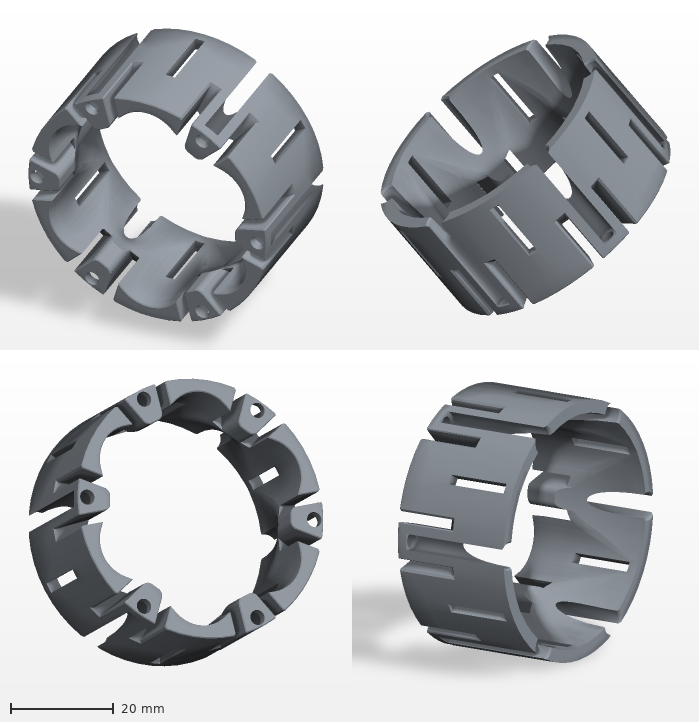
import cadquery as cq
import math

OUTER_RADIUS = 25.9
LENGTH = 25.0
FRONT = -LENGTH / 2
BACK = LENGTH / 2
COUNT = 6
PITCH = 360 / COUNT
EDGE_CHAMFER = 0.2

LOBE_DEPTH = 23.35
LOBE_RADIUS = 7.25
LOBE_FLAT_ANGLE = 45.0

TONGUE_INNER = 19.0
TONGUE_WIDTH = 4.65
TONGUE_CORNER = 1.55

BORE_RADIUS = 23.3
BORE_ARC = 42.5
BORE_OVERLAP = 3.1
BORE_BLEND = 3.35

HOLE_CENTRE = 23.95
HOLE_DIAMETER = 3.0
COUNTERBORE_DIAMETER = 5.0
COUNTERBORE_FLOOR = 2.0
COUNTERBORE_CHAMFER = 0.35

SLIT_WIDTH = 2.1
SLIT_LENGTH = 12.95
SLIT_TILT = 15.0
SLIT_APEX = 7.55
SLIT_END_RISE = 4.45
SLIT_END_RUN = 5.95
SLIT_END_FILLET = 0.3
SLIT_FLARE = 0.3
SLIT_OVERRUN = 1.55

WINDOW_WIDTH = 2.0
WINDOW_LENGTH = 13.0
WINDOW_FROM_BACK = 2.0


def front_plane():
    """XZ sketch plane on the front face; negative extrusions run towards the back."""
    return cq.Workplane("XZ", origin=(0, FRONT, 0))


def around_axis(shape, start=0.0):
    """Copies of a shape made on the +X axis, one per pitch."""
    return [shape.rotate((0, 0, 0), (0, 1, 0), start + i * PITCH) for i in range(COUNT)]


def polar(radius, degrees):
    angle = math.radians(degrees)
    return (radius * math.cos(angle), radius * math.sin(angle))


def offset_polar(centre, radius, degrees):
    reach = polar(radius, degrees)
    return (centre[0] + reach[0], centre[1] + reach[1])


def lobed_opening():
    lobe_centre = LOBE_DEPTH - LOBE_RADIUS
    flat_distance = lobe_centre * math.cos(math.radians(LOBE_FLAT_ANGLE)) + LOBE_RADIUS
    corner_radius = flat_distance / math.cos(math.radians(LOBE_FLAT_ANGLE - PITCH / 2))
    outline = front_plane().moveTo(*polar(corner_radius, 0))
    for i in range(COUNT):
        lobe = (i + 0.5) * PITCH
        centre = polar(lobe_centre, lobe)
        flat_start, flat_end = [
            offset_polar(centre, LOBE_RADIUS, lobe + turn)
            for turn in (-LOBE_FLAT_ANGLE, LOBE_FLAT_ANGLE)
        ]
        outline = outline.lineTo(*flat_start)
        outline = outline.threePointArc(polar(LOBE_DEPTH, lobe), flat_end)
        if i < COUNT - 1:
            outline = outline.lineTo(*polar(corner_radius, lobe + PITCH / 2))
    opening = outline.close().extrude(-LENGTH)

    tongue_height = HOLE_CENTRE - TONGUE_INNER
    tongue = (
        front_plane()
        .center(TONGUE_INNER + tongue_height / 2, 0)
        .rect(tongue_height, TONGUE_WIDTH)
        .extrude(-LENGTH)
        .edges("|Y and <X")
        .fillet(TONGUE_CORNER)
    )
    for copy in around_axis(tongue):
        opening = opening.cut(copy)
    return opening


def back_bore():
    """Solid of revolution, widest at the back, ending flat inside the tongue tips."""
    arc_centre = BORE_RADIUS - BORE_ARC
    end_radius = TONGUE_INNER - BORE_OVERLAP
    depth = math.sqrt(BORE_ARC**2 - (end_radius - arc_centre) ** 2)
    half = math.asin(depth / BORE_ARC) / 2
    middle = (arc_centre + BORE_ARC * math.cos(half), BACK - BORE_ARC * math.sin(half))
    return (
        cq.Workplane("XY")
        .moveTo(0, BACK)
        .lineTo(BORE_RADIUS, BACK)
        .threePointArc(middle, (end_radius, BACK - depth))
        .lineTo(0, BACK - depth)
        .close()
        .revolve(360, (0, 0, 0), (0, 1, 0))
    )


def screw_hole():
    radius = COUNTERBORE_DIAMETER / 2
    floor = FRONT + COUNTERBORE_FLOOR
    profile = [
        (0, FRONT),
        (HOLE_DIAMETER / 2, FRONT),
        (HOLE_DIAMETER / 2, floor),
        (radius, floor),
        (radius, BACK - COUNTERBORE_CHAMFER),
        (radius + COUNTERBORE_CHAMFER, BACK),
        (0, BACK),
    ]
    tool = cq.Workplane("XY").polyline(profile).close().revolve(360, (0, 0, 0), (0, 1, 0))
    return tool.translate((HOLE_CENTRE, 0, 0))


def slit(side):
    """Slit beside the +X column; side is +1 or -1."""
    half = SLIT_WIDTH / 2
    start = TONGUE_INNER - SLIT_OVERRUN - SLIT_APEX
    flare_start = OUTER_RADIUS - SLIT_APEX - SLIT_FLARE / 2
    tool = (
        front_plane()
        .polyline([
            (start, -half),
            (flare_start, -half),
            (flare_start + SLIT_OVERRUN, -half - SLIT_OVERRUN),
            (flare_start + SLIT_OVERRUN, half + SLIT_OVERRUN),
            (flare_start, half),
            (start, half),
        ])
        .close()
        .extrude(-SLIT_LENGTH - SLIT_END_RISE)
        .rotate((0, 0, 0), (0, 1, 0), -side * SLIT_TILT)
        .translate((SLIT_APEX, 0, 0))
    )
    slope = SLIT_END_RISE / SLIT_END_RUN
    end = FRONT + SLIT_LENGTH
    reach = OUTER_RADIUS + SLIT_END_RUN
    envelope = (
        cq.Workplane("XY")
        .moveTo(0, FRONT)
        .lineTo(reach, FRONT)
        .lineTo(reach, end + slope * SLIT_END_RUN)
        .lineTo(0, end - slope * OUTER_RADIUS)
        .close()
        .revolve(360, (0, 0, 0), (0, 1, 0))
    )
    near_lobe_wall = (TONGUE_INNER, end - SLIT_END_RISE, side * TONGUE_WIDTH)
    lobe_side_edge = cq.selectors.NearestToPointSelector(near_lobe_wall)
    return tool.intersect(envelope).faces(">Y").edges(lobe_side_edge).fillet(SLIT_END_FILLET)


def window():
    depth = OUTER_RADIUS - TONGUE_INNER
    start = BACK - WINDOW_FROM_BACK - WINDOW_LENGTH
    box = cq.Workplane("XY").box(depth, WINDOW_LENGTH, WINDOW_WIDTH, centered=(False, False, True))
    return box.translate((TONGUE_INNER, start, 0))


ring = front_plane().circle(OUTER_RADIUS).extrude(-LENGTH)
result = ring.cut(lobed_opening()).cut(back_bore())

curved_edges = result.edges("%BSPLINE").vals()
lobe_bore_edges = [edge for edge in curved_edges if edge.Length() > TONGUE_WIDTH]
result = result.newObject(lobe_bore_edges).fillet(BORE_BLEND)

for tool in around_axis(slit(1)) + around_axis(slit(-1)):
    result = result.cut(tool)
result = result.faces("<Y").edges().chamfer(EDGE_CHAMFER)
for tool in around_axis(screw_hole()) + around_axis(window(), PITCH / 2):
    result = result.cut(tool)